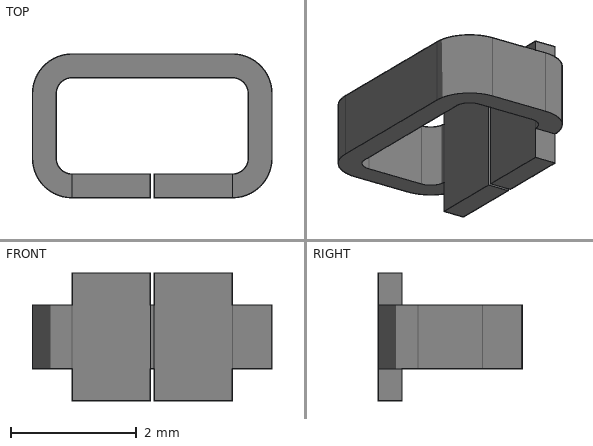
import cadquery as cq

length = 3.81
depth = 2.29
band_height = 1.017
wall = 0.38
outer_radius = 0.632
inner_radius = outer_radius - wall

plate_height = 2.03
plate_gap = 0.057
plate_span = length - 2 * outer_radius
plate_width = (plate_span - plate_gap) / 2


def rounded_block(size_x, size_y, radius):
    """Block of band height, centred on the origin, with rounded upright edges."""
    return cq.Workplane("XY").box(size_x, size_y, band_height).edges("|Z").fillet(radius)


def front_block(size_x, center_x):
    """Plate-height block filling the wall thickness of the front side."""
    center_y = (wall - depth) / 2
    return cq.Workplane("XY").box(size_x, wall, plate_height).translate((center_x, center_y, 0))


outer = rounded_block(length, depth, outer_radius)
opening = rounded_block(length - 2 * wall, depth - 2 * wall, inner_radius)
result = outer.cut(opening)

result = result.cut(front_block(plate_gap, 0))
for side in (-1, 1):
    plate_center = side * (plate_gap + plate_width) / 2
    result = result.union(front_block(plate_width, plate_center))